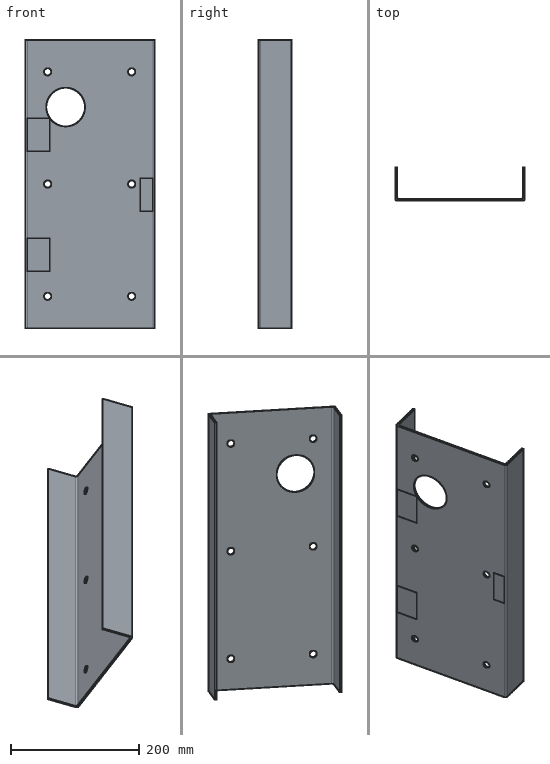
import cadquery as cq

width = 202.0
depth = 52.0
height = 450.0

thickness = 3.0
bend_radius = 3.0

web_front_y = -depth / 2
flat_half_width = width / 2 - bend_radius

mount_hole_diameter = 11.0
mount_row_pitch = 175.0
mount_column_spacing = 131.0
left_column_inset = 35.0
left_column_x = left_column_inset - width / 2
right_column_x = left_column_x + mount_column_spacing

opening_diameter = 60.0
opening_inset = 63.0
opening_x = opening_inset - width / 2
opening_z = 120.0

recess_depth = 0.2
recess_height = 51.5
left_recess_width = 35.5
right_recess_width = 19.5
left_recess_center_x = -flat_half_width + left_recess_width / 2
right_recess_center_x = flat_half_width - right_recess_width / 2
upper_left_recess_z = 76.5
lower_left_recess_z = -110.25
right_recess_z = -17.0


def channel():
    """U-shaped sheet: web on the -Y side, flanges pointing to +Y."""
    inside_width = width - 2 * thickness
    outside = cq.Workplane("XY").box(width, depth, height)
    outside = outside.edges("|Z and <Y").fillet(bend_radius)
    inside = cq.Workplane("XY").box(inside_width, depth, height)
    inside = inside.edges("|Z and <Y").fillet(bend_radius)
    return outside.cut(inside.translate((0, thickness, 0)))


def web_hole(x, z, diameter):
    """Cylinder along Y that passes through the web."""
    return cq.Workplane("XZ").center(x, z).circle(diameter / 2).extrude(depth, both=True)


def front_recess(center_x, center_z, recess_width):
    """Thin rectangular block sunk into the front face of the web."""
    block = cq.Workplane("XY").box(recess_width, recess_depth, recess_height)
    return block.translate((center_x, web_front_y + recess_depth / 2, center_z))


result = channel()

for hole_x in (left_column_x, right_column_x):
    for row in (-1, 0, 1):
        result = result.cut(web_hole(hole_x, row * mount_row_pitch, mount_hole_diameter))

result = result.cut(web_hole(opening_x, opening_z, opening_diameter))

for recess_z in (upper_left_recess_z, lower_left_recess_z):
    result = result.cut(front_recess(left_recess_center_x, recess_z, left_recess_width))
result = result.cut(front_recess(right_recess_center_x, right_recess_z, right_recess_width))